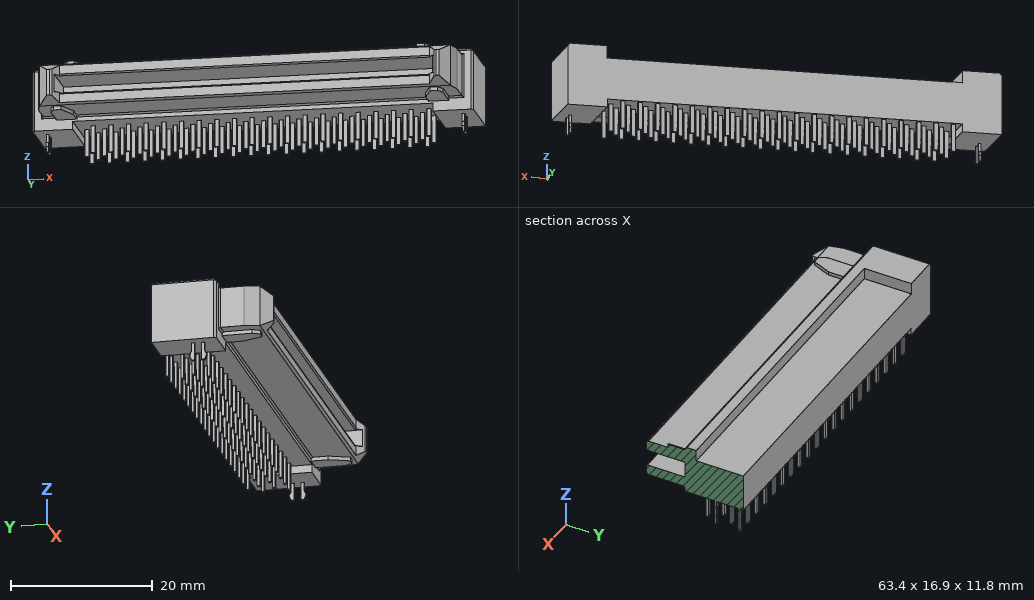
import cadquery as cq


BODY_LENGTH = 63.4
BODY_HEIGHT = 9.0
BODY_DEPTH = 9.42
BODY_CHAMFER = 0.35
FOOT_GAP_LENGTH = 51.8
FOOT_HEIGHT = 1.15
RECESS_LENGTH = 51.9
RECESS_DEPTH_Y = 7.57
RECESS_DEPTH_Z = 1.8

SHROUD_CENTRE_Z = 4.98
SHROUD_HEIGHT = 5.95
SHROUD_HALF_LENGTH = 30.1
SHROUD_ROOT_CHAMFER = 0.25
SIDE_TAPER_START = 3.65
SIDE_TAPER = 0.55
SLOPE_START = 5.85
LIP_PROJECTION = 6.23
HORN_PROJECTION = 7.48
HORN_TIP_HEIGHT = 3.75
HORN_TIP_OUTER_X = 28.2
HORN_TIP_INNER_X = 27.8
HORN_FACET_WIDTH = 0.35
HORN_FACET_DROP = 0.12
HORN_FOOT_X = 26.6

CAVITY_LENGTH = 54.4
CAVITY_HEIGHT = 2.5
CAVITY_CHAMFER = 0.21

KEY_WIDTH = 2.9
KEY_THICKNESS = 0.55
KEY_PROJECTION = 5.43
KEY_OUTER_BEVEL = (0.6, 1.05)
KEY_INNER_BEVEL = (1.2, 2.95)
TOP_KEY_OUTER_X = 26.3
BOTTOM_KEY_OUTER_X = 28.2

PIN_COLUMNS = 40
PIN_PITCH = 1.27
PIN_ROWS = 4
PIN_ROW_PITCH = 1.905
FIRST_PIN_ROW_FROM_BACK = 0.7
PIN_WIDTH = 0.6
PIN_THICKNESS = 0.4
PIN_LENGTH_BELOW_BODY = 2.8

LOCK_X = 29.9
LOCK_FROM_BACK = 6.4
LOCK_THICKNESS = 0.36
LOCK_LENGTH = 2.55
PRONG_INNER = 0.5
PRONG_OUTER = 0.95
BARB_OUTER = 1.28
BARB_TOP = 1.15
BARB_PEAK = 1.85

OVERLAP = 0.5

SHROUD_BOTTOM_Z = SHROUD_CENTRE_Z - SHROUD_HEIGHT / 2
SHROUD_TOP_Z = SHROUD_CENTRE_Z + SHROUD_HEIGHT / 2


def box_between(x_range, y_range, z_range):
    """Box that spans the given (low, high) ranges."""
    spans = [high - low for low, high in (x_range, y_range, z_range)]
    corner = (x_range[0], y_range[0], z_range[0])
    return cq.Workplane("XY").box(*spans, centered=False).translate(corner)


def make_body():
    """Housing block with chamfered front and side edges, a top recess at the back and two end feet.

    The front face lies on Y = 0.
    """
    half_length = BODY_LENGTH / 2
    body = box_between((-half_length, half_length), (0, BODY_DEPTH), (0, BODY_HEIGHT))
    body = body.edges("(|Z and <Y) or (|X and >Z and <Y) or (|Y and >Z)").chamfer(BODY_CHAMFER)
    recess = box_between(
        (-RECESS_LENGTH / 2, RECESS_LENGTH / 2),
        (BODY_DEPTH - RECESS_DEPTH_Y, BODY_DEPTH),
        (BODY_HEIGHT - RECESS_DEPTH_Z, BODY_HEIGHT),
    )
    foot_gap = box_between(
        (-FOOT_GAP_LENGTH / 2, FOOT_GAP_LENGTH / 2), (0, BODY_DEPTH), (0, FOOT_HEIGHT)
    )
    return body.cut(recess).cut(foot_gap)


def make_shroud():
    """Shroud with a pointed horn at each end: its plan outline intersected with its side profile."""
    half_plan = [
        (SHROUD_HALF_LENGTH, OVERLAP),
        (SHROUD_HALF_LENGTH, -SIDE_TAPER_START),
        (SHROUD_HALF_LENGTH - SIDE_TAPER, -SLOPE_START),
        (HORN_TIP_OUTER_X, -HORN_PROJECTION),
        (HORN_TIP_INNER_X, -HORN_PROJECTION),
        (HORN_TIP_INNER_X - HORN_FACET_WIDTH, -HORN_PROJECTION + HORN_FACET_DROP),
        (HORN_FOOT_X, -LIP_PROJECTION),
    ]
    mirrored_half = [(-x, y) for x, y in reversed(half_plan)]
    plan = cq.Workplane("XY").polyline(half_plan + mirrored_half).close().extrude(BODY_HEIGHT)

    profile_points = [
        (OVERLAP, SHROUD_BOTTOM_Z),
        (-SLOPE_START, SHROUD_BOTTOM_Z),
        (-HORN_PROJECTION, SHROUD_CENTRE_Z - HORN_TIP_HEIGHT / 2),
        (-HORN_PROJECTION, SHROUD_CENTRE_Z + HORN_TIP_HEIGHT / 2),
        (-SLOPE_START, SHROUD_TOP_Z),
        (OVERLAP, SHROUD_TOP_Z),
    ]
    profile = cq.Workplane("YZ").polyline(profile_points).close().extrude(BODY_LENGTH / 2, both=True)
    return plan.intersect(profile)


def make_shroud_root():
    """Sloping collar where the shroud meets the front face of the housing."""
    length = 2 * SHROUD_HALF_LENGTH
    growth = 2 * SHROUD_ROOT_CHAMFER
    return (
        cq.Workplane("XZ", origin=(0, 0, SHROUD_CENTRE_Z))
        .rect(length + growth, SHROUD_HEIGHT + growth)
        .workplane(offset=SHROUD_ROOT_CHAMFER)
        .rect(length, SHROUD_HEIGHT)
        .loft(ruled=True)
    )


def make_cavity():
    """Mating slot that runs from the shroud mouth back to the housing face, with a bevelled mouth."""
    slot = box_between(
        (-CAVITY_LENGTH / 2, CAVITY_LENGTH / 2),
        (-HORN_PROJECTION, 0),
        (SHROUD_CENTRE_Z - CAVITY_HEIGHT / 2, SHROUD_CENTRE_Z + CAVITY_HEIGHT / 2),
    )
    bevel = (
        cq.Workplane("XZ", origin=(0, -LIP_PROJECTION, SHROUD_CENTRE_Z))
        .rect(2 * HORN_FOOT_X, CAVITY_HEIGHT + 2 * CAVITY_CHAMFER)
        .workplane(offset=-CAVITY_CHAMFER)
        .rect(2 * HORN_FOOT_X, CAVITY_HEIGHT)
        .loft(ruled=True)
    )
    return slot.union(bevel)


def make_key(outer_x, bottom_z, thickness):
    """Flat key on the +X half with bevelled corners; outer_x is its outer side."""
    inner_x = outer_x - KEY_WIDTH
    outer_bevel_x, outer_bevel_y = KEY_OUTER_BEVEL
    inner_bevel_x, inner_bevel_y = KEY_INNER_BEVEL
    outline = [
        (inner_x, OVERLAP),
        (outer_x, OVERLAP),
        (outer_x, -KEY_PROJECTION + outer_bevel_y),
        (outer_x - outer_bevel_x, -KEY_PROJECTION),
        (inner_x + inner_bevel_x, -KEY_PROJECTION),
        (inner_x, -KEY_PROJECTION + inner_bevel_y),
    ]
    return cq.Workplane("XY", origin=(0, 0, bottom_z)).polyline(outline).close().extrude(thickness)


def make_keys():
    """Top and bottom keys of the +X half."""
    thickness = KEY_THICKNESS + OVERLAP
    top_key = make_key(TOP_KEY_OUTER_X, SHROUD_TOP_Z - OVERLAP, thickness)
    bottom_key = make_key(BOTTOM_KEY_OUTER_X, SHROUD_BOTTOM_Z - KEY_THICKNESS, thickness)
    return top_key.union(bottom_key)


def make_pins():
    """Solder pins; neighbouring columns use alternate rows, so the pattern is staggered."""
    centres = []
    for column in range(PIN_COLUMNS):
        x = (column - (PIN_COLUMNS - 1) / 2) * PIN_PITCH
        for row in range(column % 2, PIN_ROWS, 2):
            centres.append((x, BODY_DEPTH - FIRST_PIN_ROW_FROM_BACK - row * PIN_ROW_PITCH))
    return (
        cq.Workplane("XY", origin=(0, 0, -PIN_LENGTH_BELOW_BODY))
        .pushPoints(centres)
        .rect(PIN_WIDTH, PIN_THICKNESS)
        .extrude(PIN_LENGTH_BELOW_BODY + FOOT_HEIGHT + OVERLAP)
    )


def make_board_lock():
    """Pair of barbed prongs under the +X foot, mirrored about their common centre line."""
    outline = [
        (PRONG_INNER, OVERLAP),
        (PRONG_OUTER, OVERLAP),
        (PRONG_OUTER, -BARB_TOP),
        (BARB_OUTER, -BARB_PEAK),
        (PRONG_OUTER, -LOCK_LENGTH),
        (PRONG_INNER, -LOCK_LENGTH),
    ]
    prong = cq.Workplane("YZ").polyline(outline).close().extrude(LOCK_THICKNESS / 2, both=True)
    pair = prong.union(prong.mirror("XZ"))
    return pair.translate((LOCK_X, BODY_DEPTH - LOCK_FROM_BACK, 0))


def both_ends(feature):
    """The feature together with its mirror image at the other end of the connector."""
    return feature.union(feature.mirror("YZ"))


result = (
    make_body()
    .union(make_shroud())
    .union(make_shroud_root())
    .union(both_ends(make_keys()))
    .cut(make_cavity())
    .union(make_pins())
    .union(both_ends(make_board_lock()))
)